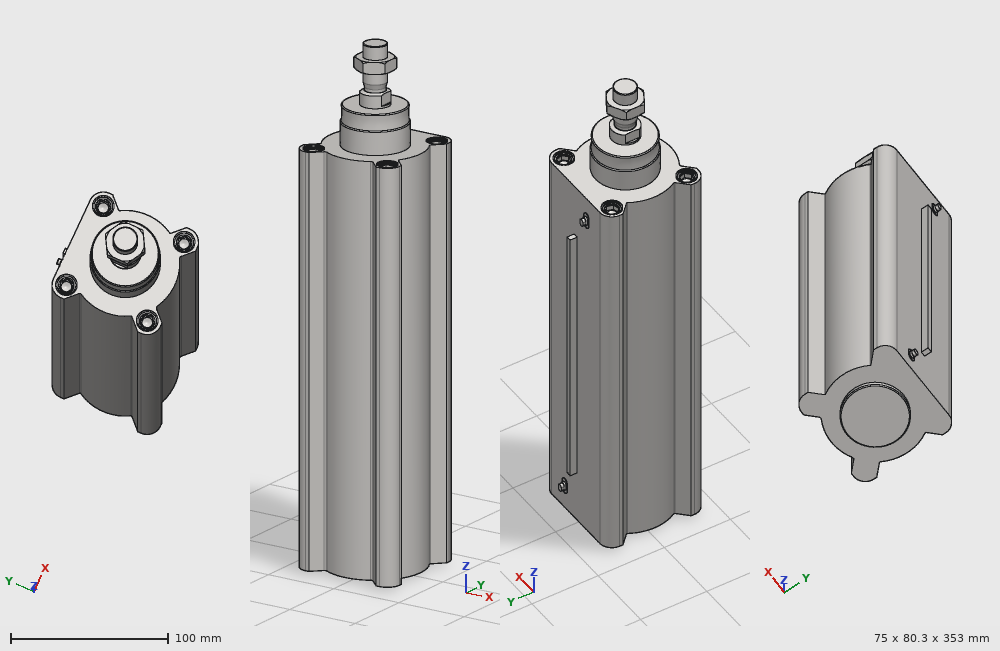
import cadquery as cq
import math

TOTAL_HEIGHT = 353.0
BARREL_BOTTOM = 4.0
BARREL_TOP = 285.0
COLLAR_STEP = 301.2
COLLAR_TOP = 312.0
FLATS_BOTTOM = 313.5
SHOULDER_TOP = 321.5
RUNOUT_BOTTOM = 323.8
THREAD_BOTTOM = 327.5
NUT_BOTTOM = 335.8
NUT_HEIGHT = 8.0

BARREL_HALF_WIDTH = 37.5
BARREL_RADIUS = 34.5
SCREW_OFFSET = 28.2
EAR_CUT_START = 25.8
EAR_RADIUS = BARREL_HALF_WIDTH - SCREW_OFFSET
SIDE_VALLEY_FILLET = 0.7
FRONT_VALLEY_FILLET = 1.8

COLLAR_DIAMETER = 45.0
COLLAR_TIP_DIAMETER = 43.5
COLLAR_WAIST_DIAMETER = 42.7
COLLAR_CHAMFER = 0.7

RECESS_STEPS = [(13.8, 0.7), (12.0, 1.5), (10.0, 2.0)]
SOCKET_CORNER_DIAMETER = 9.2
SOCKET_DEPTH = 5.5
DRILL_DIAMETER = 6.7
DRILL_TIP_HEIGHT = 1.8

RAIL_WIDTH = 3.5
RAIL_HEIGHT = 5.3
RAIL_BOTTOM = 44.0
RAIL_TOP = 244.5
ADJUSTER_OFFSET = 12.7
ADJUSTER_PLACES = [(-ADJUSTER_OFFSET, 266.5), (ADJUSTER_OFFSET, 22.5)]
ADJUSTER_STEPS = [(12.0, 5.5, 0.5), (6.7, 3.5, 1.8), (5.3, 3.5, 4.0)]

ROD_DIAMETER = 20.0
ROD_FLATS = 17.0
SHOULDER_TOP_DIAMETER = 14.5
SHOULDER_CHAMFER_HEIGHT = 1.0
NECK_DIAMETER = 13.8
THREAD_DIAMETER = 16.0
THREAD_TIP_CHAMFER = 0.53
NUT_FLATS = 24.0
NUT_CHAMFER_DIAMETER = 24.7
NUT_CHAMFER_ANGLE = 30


def disc(diameter, bottom, top):
    return cq.Workplane("XY").workplane(offset=bottom).circle(diameter / 2).extrude(top - bottom)


def block(x_size, y_size, bottom, top):
    return cq.Workplane("XY").workplane(offset=bottom).rect(x_size, y_size).extrude(top - bottom)


def spin(half_profile):
    """Revolve a closed (radius, height) outline about the Z axis."""
    return half_profile.close().revolve(360, (0, 0, 0), (0, 1, 0))


def make_ears():
    """Four screw ears with 45 degree flanks that run on to meet inside the barrel."""
    w = BARREL_HALF_WIDTH
    s = SCREW_OFFSET
    c = EAR_CUT_START
    return (
        cq.Workplane("XY").workplane(offset=BARREL_BOTTOM)
        .moveTo(-w, s).radiusArc((-s, w), EAR_RADIUS)
        .lineTo(s, w).radiusArc((w, s), EAR_RADIUS)
        .lineTo(w, c).lineTo(w - c, 0)
        .lineTo(w, -c).lineTo(w, -s).radiusArc((s, -w), EAR_RADIUS)
        .lineTo(c, -w).lineTo(0, c - w)
        .lineTo(-c, -w).lineTo(-s, -w).radiusArc((-w, -s), EAR_RADIUS)
        .lineTo(-w, -c).lineTo(c - w, 0)
        .lineTo(-w, c).close()
        .extrude(BARREL_TOP - BARREL_BOTTOM)
    )


def fillet_valley(barrel, x, y, radius):
    middle = (BARREL_BOTTOM + BARREL_TOP) / 2
    return barrel.edges(cq.selectors.NearestToPointSelector((x, y, middle))).fillet(radius)


def make_barrel():
    """Round barrel with screw ears; the back (+Y) side is filled out flat."""
    barrel = make_ears().union(disc(2 * BARREL_RADIUS, BARREL_BOTTOM, BARREL_TOP))
    flank_gap = BARREL_HALF_WIDTH - EAR_CUT_START
    far = (flank_gap + math.sqrt(2 * BARREL_RADIUS**2 - flank_gap**2)) / 2
    near = far - flank_gap
    for x_sign in (-1, 1):
        for y_sign in (-1, 1):
            barrel = fillet_valley(barrel, x_sign * far, y_sign * near, SIDE_VALLEY_FILLET)
        barrel = fillet_valley(barrel, x_sign * near, -far, FRONT_VALLEY_FILLET)
    return barrel


def make_front_collar():
    """Bearing collar whose upper half has a shallow hollow waist."""
    outer = COLLAR_DIAMETER / 2
    tip = COLLAR_TIP_DIAMETER / 2
    rim = COLLAR_TOP - COLLAR_CHAMFER
    profile = (
        cq.Workplane("XZ").moveTo(0, BARREL_TOP)
        .lineTo(outer, BARREL_TOP)
        .lineTo(outer, COLLAR_STEP - COLLAR_CHAMFER)
        .lineTo(tip, COLLAR_STEP)
        .threePointArc((COLLAR_WAIST_DIAMETER / 2, (COLLAR_STEP + rim) / 2), (tip, rim))
        .lineTo(tip - COLLAR_CHAMFER, COLLAR_TOP)
        .lineTo(0, COLLAR_TOP)
    )
    return spin(profile)


def make_rear_collar():
    return disc(COLLAR_DIAMETER, 0, BARREL_BOTTOM).faces("<Z").chamfer(COLLAR_CHAMFER)


def make_recess(x, y):
    """Cutter for one corner: round steps, a hexagon socket and a conical drill tip."""
    socket_floor = BARREL_TOP - SOCKET_DEPTH
    diagonal_angle = math.degrees(math.atan2(y, x))
    recess = (
        cq.Workplane("XY").workplane(offset=socket_floor)
        .polygon(6, SOCKET_CORNER_DIAMETER).extrude(SOCKET_DEPTH)
        .rotate((0, 0, 0), (0, 0, 1), diagonal_angle)
    )
    for diameter, depth in RECESS_STEPS:
        recess = recess.union(disc(diameter, BARREL_TOP - depth, BARREL_TOP))
    drill_tip = (
        cq.Workplane("XZ").moveTo(0, socket_floor)
        .lineTo(DRILL_DIAMETER / 2, socket_floor)
        .lineTo(0, socket_floor - DRILL_TIP_HEIGHT)
    )
    return recess.union(spin(drill_tip)).translate((x, y, 0))


def make_rail():
    rail = block(RAIL_WIDTH, RAIL_HEIGHT, RAIL_BOTTOM, RAIL_TOP)
    return rail.translate((0, BARREL_HALF_WIDTH + RAIL_HEIGHT / 2, 0))


def add_adjuster(housing, x, z):
    """Stepped adjusting screw with round-ended steps, standing on the back face."""
    back_plane = cq.Workplane("XZ", origin=(x, BARREL_HALF_WIDTH, z))
    for length, width, height in ADJUSTER_STEPS:
        housing = housing.union(back_plane.slot2D(length, width, 90).extrude(-height))
    return housing


def make_housing():
    housing = make_barrel().union(make_front_collar()).union(make_rear_collar()).union(make_rail())
    for x, z in ADJUSTER_PLACES:
        housing = add_adjuster(housing, x, z)
    for x in (-SCREW_OFFSET, SCREW_OFFSET):
        for y in (-SCREW_OFFSET, SCREW_OFFSET):
            housing = housing.cut(make_recess(x, y))
    return housing


def make_rod():
    """Round rod standing on the front collar, with two wrench flats and a threaded end."""
    rod_radius = ROD_DIAMETER / 2
    thread_radius = THREAD_DIAMETER / 2
    neck_radius = NECK_DIAMETER / 2
    profile = (
        cq.Workplane("XZ").moveTo(0, COLLAR_TOP)
        .lineTo(rod_radius, COLLAR_TOP)
        .lineTo(rod_radius, SHOULDER_TOP - SHOULDER_CHAMFER_HEIGHT)
        .lineTo(SHOULDER_TOP_DIAMETER / 2, SHOULDER_TOP)
        .lineTo(neck_radius, SHOULDER_TOP)
        .lineTo(neck_radius, RUNOUT_BOTTOM)
        .lineTo(thread_radius, THREAD_BOTTOM)
        .lineTo(thread_radius, TOTAL_HEIGHT - THREAD_TIP_CHAMFER)
        .lineTo(thread_radius - THREAD_TIP_CHAMFER, TOTAL_HEIGHT)
        .lineTo(0, TOTAL_HEIGHT)
    )
    flat_band = disc(2 * ROD_DIAMETER, FLATS_BOTTOM, SHOULDER_TOP)
    flat_cutter = flat_band.cut(block(ROD_FLATS, 2 * ROD_DIAMETER, FLATS_BOTTOM, SHOULDER_TOP))
    return spin(profile).cut(flat_cutter)


def make_nut():
    """Hexagon nut with flats facing X, conical corner chamfers and a plain bore."""
    top = NUT_BOTTOM + NUT_HEIGHT
    corner_diameter = NUT_FLATS / math.cos(math.pi / 6)
    hexagon = (
        cq.Workplane("XY").workplane(offset=NUT_BOTTOM)
        .polygon(6, corner_diameter).extrude(NUT_HEIGHT)
        .rotate((0, 0, 0), (0, 0, 1), 30)
    )
    inset = (corner_diameter - NUT_CHAMFER_DIAMETER) / 2
    drop = inset * math.tan(math.radians(NUT_CHAMFER_ANGLE))
    corner = corner_diameter / 2
    chamfered_blank = spin(
        cq.Workplane("XZ").moveTo(0, NUT_BOTTOM)
        .lineTo(corner - inset, NUT_BOTTOM)
        .lineTo(corner, NUT_BOTTOM + drop)
        .lineTo(corner, top - drop)
        .lineTo(corner - inset, top)
        .lineTo(0, top)
    )
    return hexagon.intersect(chamfered_blank).cut(disc(THREAD_DIAMETER, NUT_BOTTOM, top))


housing = make_housing()
rod = make_rod()
nut = make_nut()
result = cq.Compound.makeCompound([housing.val(), rod.val(), nut.val()])